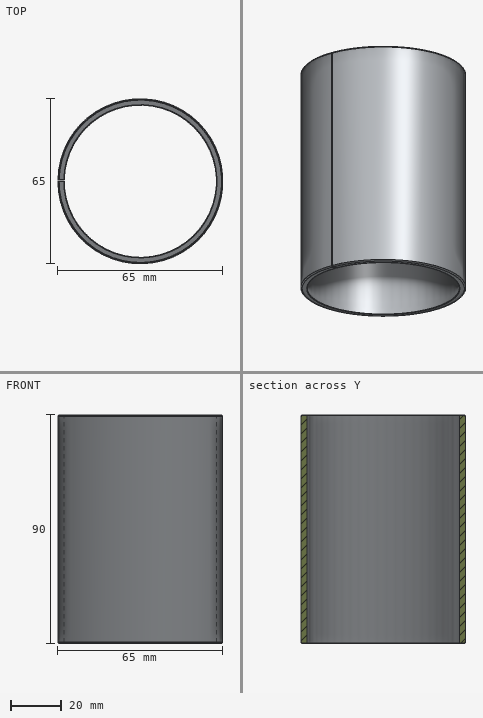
import cadquery as cq

outer_diameter = 65.0
wall_thickness = 2.5
length = 90.0
outer_chamfer = 0.5
inner_chamfer = 0.2
joint_angle = 1.0

outer_radius = outer_diameter / 2
inner_radius = outer_radius - wall_thickness
half_length = length / 2


def make_wall_section():
    """Section of the wall on the -X side, chamfered at its four corners."""
    return (
        cq.Workplane("XZ")
        .moveTo(-inner_radius, half_length - inner_chamfer)
        .lineTo(-inner_radius - inner_chamfer, half_length)
        .lineTo(-outer_radius + outer_chamfer, half_length)
        .lineTo(-outer_radius, half_length - outer_chamfer)
        .lineTo(-outer_radius, -half_length + outer_chamfer)
        .lineTo(-outer_radius + outer_chamfer, -half_length)
        .lineTo(-inner_radius - inner_chamfer, -half_length)
        .lineTo(-inner_radius, -half_length + inner_chamfer)
        .close()
    )


def make_split_sleeve():
    """Revolve the wall from the plane Y = 0 almost all the way round, leaving the joint on its +Y side."""
    axis_start = (0, 0, 0)
    axis_end = (0, 1, 0)
    return make_wall_section().revolve(360 - joint_angle, axis_start, axis_end)


result = make_split_sleeve()